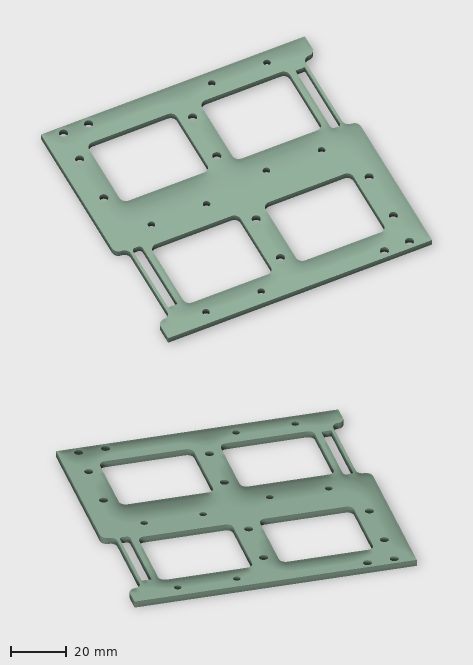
import cadquery as cq

side = 105.0
half = side / 2
thickness = 2.5

window_width = 30.0
window_height = 35.0
window_radius = 2.5
window_x = side / 4
window_y = 22.5

notch_x = window_x
notch_depth = 5.0
notch_floor_width = window_width
notch_radius = notch_depth / 2
slot_x = 24.6
slot_y = 44.4
slot_length = 30.0
slot_width = 3.8
slot_radius = slot_width / 3

large_diameter = 3.3
large_pitch = 20.0
large_row_y = 2 * window_y
corner_hole_x = 49.6
corner_hole_y = 35.0

small_diameter = 2.7
small_inner_x = 2.3
small_outer_x = 47.4
small_near_y = 13.0
small_far_y = corner_hole_y


def with_half_turn(points):
    """Add to each point its image under a half turn about the Z axis."""
    return points + [(-x, -y) for x, y in points]


def make_plate():
    return cq.Workplane("XY").rect(side, side).extrude(thickness)


def make_windows():
    centres = [(sx * window_x, sy * window_y) for sx in (-1, 1) for sy in (-1, 1)]
    windows = cq.Workplane("XY").pushPoints(centres).rect(window_width, window_height)
    return windows.extrude(thickness).edges("|Z").fillet(window_radius)


def make_notch():
    """Notch in the +Y edge; each end is an S of two quarter arcs from floor to plate edge."""
    floor_half = notch_floor_width / 2
    bend_half = floor_half + notch_radius
    mouth_half = bend_half + notch_radius
    floor_y = half - notch_depth
    bend_y = floor_y + notch_radius
    return (
        cq.Workplane("XY")
        .moveTo(-floor_half, floor_y)
        .lineTo(floor_half, floor_y)
        .radiusArc((bend_half, bend_y), -notch_radius)
        .radiusArc((mouth_half, half), notch_radius)
        .lineTo(-mouth_half, half)
        .radiusArc((-bend_half, bend_y), notch_radius)
        .radiusArc((-floor_half, floor_y), -notch_radius)
        .close()
        .extrude(thickness)
        .translate((-notch_x, 0, 0))
    )


def make_slot():
    """Slot square at its outer end and rounded at the end nearer the plate centre."""
    slot = cq.Workplane("XY").rect(slot_length, slot_width).extrude(thickness)
    return slot.edges("|Z and >X").fillet(slot_radius).translate((-slot_x, slot_y, 0))


def make_holes(centres, diameter):
    return cq.Workplane("XY").pushPoints(centres).circle(diameter / 2).extrude(thickness)


pair_xs = [window_x - large_pitch / 2, window_x + large_pitch / 2]
large_holes = with_half_turn(
    [(x, 0) for x in pair_xs]
    + [(x, large_row_y) for x in pair_xs]
    + [(corner_hole_x, large_row_y), (corner_hole_x, corner_hole_y)]
)
small_holes = with_half_turn(
    [(-x, y) for x in (small_inner_x, small_outer_x) for y in (small_near_y, small_far_y)]
)

result = make_plate().cut(make_windows())
for cutter in (make_notch(), make_slot()):
    result = result.cut(cutter)
    result = result.cut(cutter.rotate((0, 0, 0), (0, 0, 1), 180))
result = result.cut(make_holes(large_holes, large_diameter))
result = result.cut(make_holes(small_holes, small_diameter))